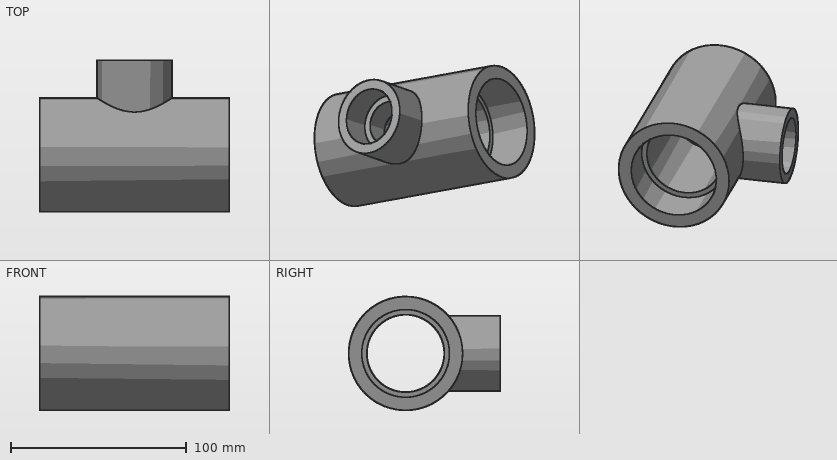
import cadquery as cq

run_length = 108.0
run_diameter = 65.0
run_bore_diameter = 44.0
run_socket_diameter = 50.0
run_socket_depth = 24.0

branch_reach = run_length / 2
branch_diameter = 43.0
branch_socket_diameter = 32.0
branch_bore_diameter = 24.67
branch_socket_depth = 18.0


def run_cylinder(diameter, x_start, length):
    """Cylinder on the run axis, growing in +X from x_start."""
    return cq.Workplane("YZ", origin=(x_start, 0, 0)).circle(diameter / 2).extrude(length)


def branch_cylinder(diameter, y_start, y_end):
    """Cylinder on the branch axis between two Y positions."""
    plane = cq.Plane(origin=(0, y_start, 0), xDir=(1, 0, 0), normal=(0, 1, 0))
    return cq.Workplane(plane).circle(diameter / 2).extrude(y_end - y_start)


def outer_body():
    run = run_cylinder(run_diameter, -run_length / 2, run_length)
    return run.union(branch_cylinder(branch_diameter, 0, branch_reach))


def cut_run_passage(body):
    """Through bore with a wider pipe socket at each end."""
    left_end = -run_length / 2
    body = body.cut(run_cylinder(run_bore_diameter, left_end, run_length))
    for socket_start in (left_end, run_length / 2 - run_socket_depth):
        body = body.cut(run_cylinder(run_socket_diameter, socket_start, run_socket_depth))
    return body


def cut_branch_passage(body):
    """Bore from the run into the branch, with a wider socket at the open end."""
    body = body.cut(branch_cylinder(branch_bore_diameter, 0, branch_reach))
    socket_floor = branch_reach - branch_socket_depth
    return body.cut(branch_cylinder(branch_socket_diameter, socket_floor, branch_reach))


result = cut_branch_passage(cut_run_passage(outer_body()))